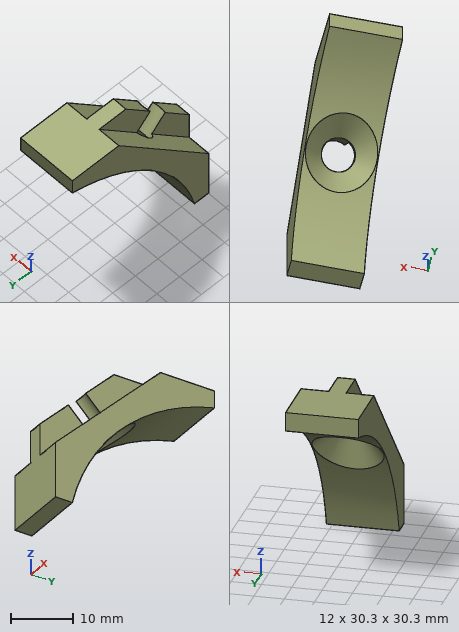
import cadquery as cq
import math

size = 30.25
width = 12.0
end_thickness = 3.2
body_chamfer = 19.95
rib_chamfer = 14.05
rib_width = 2.9
hole_diameter = 5.5
hole_radius = hole_diameter / 2
land_depth = 1.0
countersink_depth = 4.55
arc_radius = 36.3

span = size - end_thickness
half_chord = span / math.sqrt(2)
centre_distance = math.sqrt(arc_radius**2 - half_chord**2)
arc_rise = arc_radius - centre_distance
chord_mid_y = (size + end_thickness) / 2
arc_mid_y = chord_mid_y - arc_rise / math.sqrt(2)


def bracket_plate(plate_width, chamfer):
    """Curved-back profile in YZ, extruded symmetrically about X = 0."""
    return (
        cq.Workplane("YZ")
        .moveTo(0, 0)
        .lineTo(end_thickness, 0)
        .threePointArc((arc_mid_y, size - arc_mid_y), (size, span))
        .lineTo(size, size)
        .lineTo(chamfer, size)
        .lineTo(0, size - chamfer)
        .close()
        .extrude(plate_width / 2, both=True)
    )


body = bracket_plate(width, body_chamfer)
rib = bracket_plate(rib_width, rib_chamfer)

face_centre = (0, body_chamfer / 2, size - body_chamfer / 2)
axis_plane = cq.Plane(origin=face_centre, xDir=(1, 0, 0), normal=(0, 1, -1))
hole = cq.Workplane(axis_plane).circle(hole_radius).extrude(size, both=True)

countersink = (
    cq.Workplane(axis_plane)
    .workplane(offset=land_depth)
    .circle(hole_radius)
    .workplane(offset=countersink_depth)
    .circle(hole_radius + countersink_depth)
    .loft()
)

result = body.union(rib).cut(hole).cut(countersink)